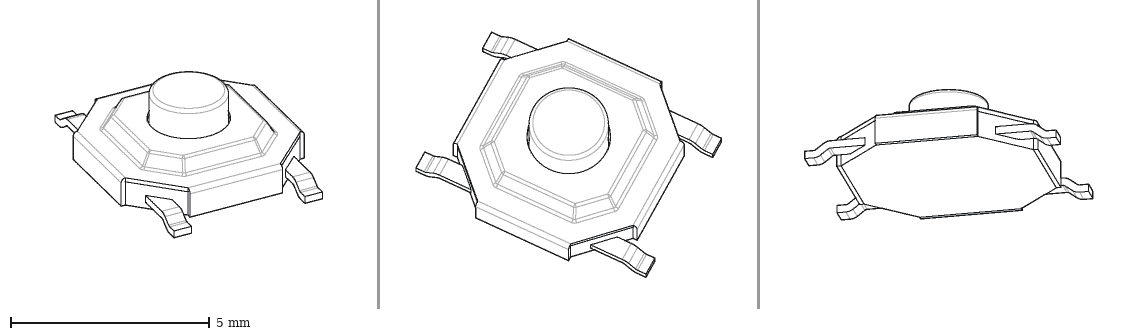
import cadquery as cq
import math


COVER_WIDTH = 5.2
COVER_HEIGHT = 0.8
SHEET = 0.12
FLAP_WIDTH = 2.625
DOME_TOP = 1.2
DOME_HALF = 1.89
DOME_SIDE = 2.22
DOME_SLOPE = 60.0
DOME_FILLET = 0.1
HOLE_DIAMETER = 2.1

BUTTON_DIAMETER = 2.0
BUTTON_TOP = 2.0
BUTTON_FILLET = 0.1

LEAD_SPAN = 6.5
LEAD_Y = 1.86
LEAD_WIDTH = 0.5
LEAD_THICKNESS = 0.2
LEAD_RISE = 0.23
LEAD_SLOPE = 37.0
LEAD_BEND_INNER = 0.1
FOOT_LENGTH = 0.235
FOOT_DROP = 0.049

BODY_HALF = COVER_WIDTH / 2 - SHEET
BASE_HEIGHT = COVER_HEIGHT - SHEET
DOME_RISE = DOME_TOP - COVER_HEIGHT
DOME_TAPER = 90.0 - DOME_SLOPE
LEAD_BEND_OUTER = LEAD_BEND_INNER + LEAD_THICKNESS

OCTAGON_TURN = 45.0
PICK_MARGIN = 0.0005


def octagon(half, side, z):
    """Octagonal outline whose four axis-parallel sides have the given length."""
    end = side / 2
    corners = [
        (half, -end), (half, end), (end, half), (-end, half),
        (-half, end), (-half, -end), (-end, -half), (end, -half),
    ]
    return cq.Workplane("XY").workplane(offset=z).polyline(corners).close()


def make_dome():
    """Solid tapered dome, standing on the rim, with rounded corners and top edge."""
    dome = octagon(DOME_HALF, DOME_SIDE, COVER_HEIGHT).extrude(DOME_RISE, taper=DOME_TAPER)
    return dome.edges("not(#Z)").fillet(DOME_FILLET).faces(">Z").edges().fillet(DOME_FILLET)


def make_dome_cavity():
    """Hollow under the dome, leaving walls and a roof one sheet thick."""
    inset = SHEET * math.tan(math.radians(DOME_TAPER))
    shortening = 2 * inset * math.tan(math.radians(OCTAGON_TURN / 2))
    outline = octagon(DOME_HALF - inset, DOME_SIDE - shortening, BASE_HEIGHT)
    return outline.extrude(DOME_RISE, taper=DOME_TAPER)


def make_flaps():
    """Four side flaps bent down from the rim, rounded along the bend."""
    flaps = cq.Workplane("XY")
    for size_x, size_y in ((COVER_WIDTH, FLAP_WIDTH), (FLAP_WIDTH, COVER_WIDTH)):
        bend_direction = "|Y" if size_x > size_y else "|X"
        strip = cq.Workplane("XY").box(size_x, size_y, COVER_HEIGHT, centered=(True, True, False))
        strip = strip.faces(">Z").edges(bend_direction).fillet(SHEET)
        flaps = flaps.add(strip)
    flaps = flaps.combine()
    core = cq.Workplane("XY").box(2 * BODY_HALF, 2 * BODY_HALF, BASE_HEIGHT, centered=(True, True, False))
    return flaps.cut(core)


def make_cover():
    rim = octagon(BODY_HALF, FLAP_WIDTH, BASE_HEIGHT).extrude(SHEET)
    cover = rim.union(make_dome())
    reach = DOME_HALF + PICK_MARGIN
    foot_zone = cq.selectors.BoxSelector(
        (-reach, -reach, COVER_HEIGHT - PICK_MARGIN),
        (reach, reach, COVER_HEIGHT + PICK_MARGIN),
    )
    cover = cover.edges(foot_zone).fillet(DOME_FILLET)
    cover = cover.union(make_flaps()).cut(make_dome_cavity())
    return cover.faces(">Z").workplane(origin=(0, 0, DOME_TOP)).hole(HOLE_DIAMETER)


def make_lead(side_x, side_y):
    """Gull-wing lead with its foot pointing to side_x, running into the base."""
    slope = math.radians(LEAD_SLOPE)
    half_bend = math.tan(slope / 2)
    tip = LEAD_SPAN / 2
    foot_bend = tip - FOOT_LENGTH - LEAD_BEND_INNER * half_bend
    shank_bend = foot_bend - LEAD_RISE / math.tan(slope)
    shift = LEAD_THICKNESS * half_bend
    inner_end = FLAP_WIDTH / 2
    foot_low = -FOOT_DROP
    foot_high = foot_low + LEAD_THICKNESS
    shank_low = foot_low + LEAD_RISE
    shank_high = shank_low + LEAD_THICKNESS
    outline = [
        (tip, foot_low), (tip, foot_high), (foot_bend, foot_high), (shank_bend, shank_high),
        (inner_end, shank_high), (inner_end, shank_low),
        (shank_bend - shift, shank_low), (foot_bend - shift, foot_low),
    ]
    lead = (
        cq.Workplane("XZ", origin=(0, side_y * LEAD_Y, 0))
        .polyline([(side_x * x, z) for x, z in outline]).close()
        .extrude(LEAD_WIDTH / 2, both=True)
    )
    bends = (
        (foot_bend, foot_high, LEAD_BEND_INNER),
        (shank_bend, shank_high, LEAD_BEND_OUTER),
        (shank_bend - shift, shank_low, LEAD_BEND_INNER),
        (foot_bend - shift, foot_low, LEAD_BEND_OUTER),
    )
    for x, z, radius in bends:
        bend_edge = cq.selectors.NearestToPointSelector((side_x * x, side_y * LEAD_Y, z))
        lead = lead.edges(bend_edge).fillet(radius)
    return lead


def make_base():
    base = octagon(BODY_HALF, FLAP_WIDTH, 0).extrude(BASE_HEIGHT)
    for side_x in (-1, 1):
        for side_y in (-1, 1):
            base = base.union(make_lead(side_x, side_y))
    return base


def make_button():
    """Round button standing on the base and passing through the cover hole with clearance."""
    button = cq.Workplane("XY").workplane(offset=BASE_HEIGHT).circle(BUTTON_DIAMETER / 2)
    button = button.extrude(BUTTON_TOP - BASE_HEIGHT)
    return button.faces(">Z").edges().fillet(BUTTON_FILLET)


cover = make_cover().solids()
base = make_base().solids()
button = make_button().solids()

result = cq.Compound.makeCompound([cover.val(), base.val(), button.val()])